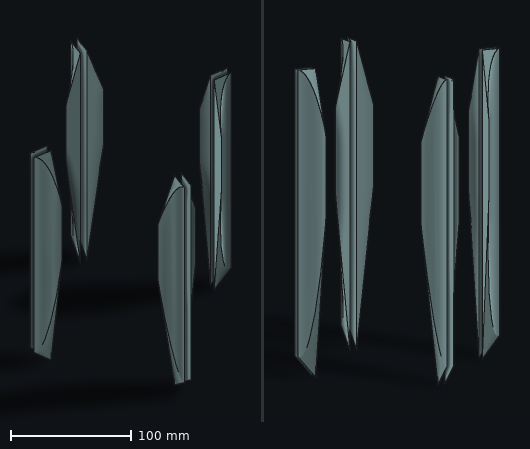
import cadquery as cq

height = 262.6
outer_reach = 94.8

gap_half = 3.2
fin_width = 15.0
root_reach = 78.3
inner_face_drop = 1.8
arc_radius = 19.7

top_cut_drop = 55.0
bottom_cut_rise = 138.0
outer_edge_rise = 19.0

side_tip_x = gap_half + fin_width
side_tip_y = root_reach - inner_face_drop
flat_depth = outer_reach - root_reach


def fin_prism():
    """Full-height prism with a flat side, a leaning inner face and a concave face."""
    return (
        cq.Workplane("XY")
        .moveTo(gap_half, root_reach)
        .lineTo(gap_half, outer_reach)
        .radiusArc((side_tip_x, side_tip_y), -arc_radius)
        .close()
        .extrude(height)
    )


def half_space(plane_point, x_slope, y_slope, side):
    """Large block on one side (+1 above, -1 below) of a sloping plane."""
    normal = (-side * x_slope, -side * y_slope, side)
    block_width = 4 * height
    plane = cq.Plane(origin=plane_point, xDir=(1, 0, x_slope), normal=normal)
    return cq.Workplane(plane).rect(block_width, block_width).extrude(block_width)


def make_fin():
    """One fin with its sloping top and bottom cuts."""
    above_top = half_space((gap_half, root_reach, height), -top_cut_drop / fin_width, 0, 1)
    edge_slope = outer_edge_rise / flat_depth
    cross_slope = (bottom_cut_rise + edge_slope * inner_face_drop) / fin_width
    below_bottom = half_space((gap_half, root_reach, 0), cross_slope, edge_slope, -1)
    return fin_prism().cut(above_top).cut(below_bottom)


pair_count = 4
pair_angle = 360 / pair_count
right_fin = make_fin()
left_fin = right_fin.mirror("YZ")
fins = []
for index in range(pair_count):
    for fin in (right_fin, left_fin):
        fins.append(fin.rotate((0, 0, 0), (0, 0, 1), index * pair_angle).val())

result = cq.Compound.makeCompound(fins)